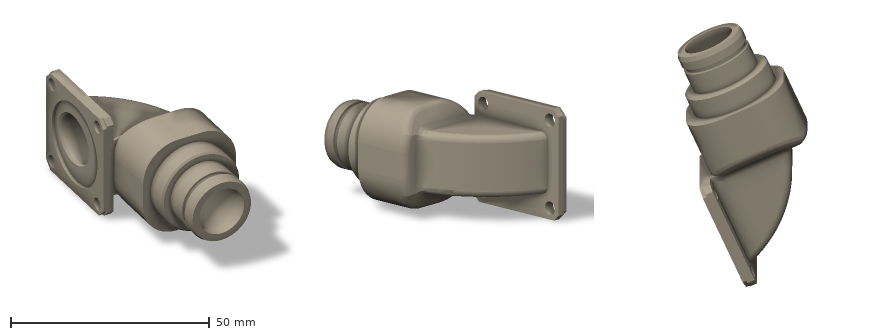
import cadquery as cq
import math

flange_side = 29.0
flange_thickness = 3.0
front_layer_thickness = 1.0
front_corner_chamfer = 2.25
back_corner_chamfer = 1.55
hole_diameter = 3.5
hole_spacing = 23.05
recess_diameter = 23.1
recess_depth = 0.9

outlet_y = 16.5
duct_bend_x = 21.7
duct_bend_y = -9.05
duct_back_radius = 34.7
duct_width = 16.3
edge_radius = 2.0

bore_bend_x = 22.55
bore_bend_radius = 27.5
bore_diameter = 13.0
bore_mouth_chamfer = 0.5

body_size = 27.0
body_corner_radius = 10.0
body_start_x = 13.3
body_end_x = 29.5
nose_width = 15.3
nose_sweep_angle = 30.0

shoulder_radius = 11.35
shoulder_end_x = 35.35
shoulder_chamfer = 0.5
spigot_radius = 8.9
groove_radius = 8.2
groove_start_x = 41.0
groove_end_x = 42.4
groove_root_radius = 0.25
tip_taper_length = 1.2
tip_taper_depth = 0.4

margin = 0.6

overall_length = 60.3
part_end_x = overall_length - flange_side / 2


def chamfered_plate(start_y, end_y, chamfer):
    """Square plate between two Y levels with its four corners cut off."""
    return (
        cq.Workplane("XZ", origin=(0, start_y, 0))
        .rect(flange_side, flange_side)
        .extrude(start_y - end_y)
        .edges("|Y")
        .chamfer(chamfer)
    )


def make_flange():
    front_layer = chamfered_plate(0, front_layer_thickness, front_corner_chamfer)
    back_layer = chamfered_plate(front_layer_thickness, flange_thickness, back_corner_chamfer)
    return front_layer.union(back_layer)


def make_body():
    block = (
        cq.Workplane("YZ", origin=(body_start_x, outlet_y, 0))
        .rect(body_size, body_size)
        .extrude(body_end_x - body_start_x)
        .edges("|X")
        .fillet(body_corner_radius)
    )
    half_height = body_size / 2
    half_nose = nose_width / 2
    sweep_back = (half_height - half_nose) * math.tan(math.radians(nose_sweep_angle))
    swept_x = body_start_x + sweep_back
    side_outline = (
        cq.Workplane("XZ", origin=(0, outlet_y, 0))
        .polyline([
            (body_start_x, -half_nose),
            (body_start_x, half_nose),
            (swept_x, half_height),
            (body_end_x, half_height),
            (body_end_x, -half_height),
            (swept_x, -half_height),
        ])
        .close()
        .extrude(body_size, both=True)
    )
    body = block.intersect(side_outline)
    ridge_zone = cq.selectors.BoxSelector(
        (body_start_x - margin, outlet_y - margin, -half_height + margin),
        (body_start_x + margin, outlet_y + margin, half_height - margin),
    )
    nose_zone = cq.selectors.BoxSelector(
        (body_start_x - margin, outlet_y - body_size, -body_size),
        (swept_x + margin, outlet_y + body_size, body_size),
    )
    return body.edges(nose_zone - ridge_zone).fillet(edge_radius)


def duct_back_offset(distance):
    """X or Y offset of the back arc from its bend centre, given the offset along the other axis."""
    return math.sqrt(duct_back_radius**2 - distance**2)


def make_duct():
    base_y = flange_thickness / 2
    foot_x = duct_bend_x - duct_back_offset(base_y - duct_bend_y)
    middle_x = (foot_x + duct_bend_x) / 2
    middle_y = duct_bend_y + duct_back_offset(middle_x - duct_bend_x)
    return (
        cq.Workplane("XY", origin=(0, 0, -duct_width / 2))
        .moveTo(foot_x, base_y)
        .threePointArc((middle_x, middle_y), (duct_bend_x, duct_bend_y + duct_back_radius))
        .lineTo(duct_bend_x, outlet_y)
        .lineTo(flange_side / 2, outlet_y)
        .lineTo(flange_side / 2, base_y)
        .close()
        .extrude(duct_width)
        .edges("%CIRCLE")
        .fillet(edge_radius)
    )


def join_duct_to_body(body, duct):
    """Unite both and round the inner corner where the duct meets the nose."""
    joint_zone = cq.selectors.BoxSelector(
        (body_start_x - margin, flange_thickness + edge_radius, -duct_width),
        (flange_side / 2, duct_bend_y + duct_back_radius, duct_width),
        boundingbox=True,
    )
    return body.union(duct).edges(joint_zone).fillet(edge_radius)


def make_outlet():
    shoulder = (
        cq.Workplane("YZ", origin=(body_end_x, outlet_y, 0))
        .circle(shoulder_radius)
        .extrude(shoulder_end_x - body_end_x)
        .faces(">X")
        .chamfer(shoulder_chamfer)
    )
    spigot = (
        cq.Workplane("YZ", origin=(shoulder_end_x, outlet_y, 0))
        .circle(spigot_radius)
        .extrude(part_end_x - shoulder_end_x)
        .faces(">X")
        .chamfer(tip_taper_length, tip_taper_depth)
    )
    groove = (
        cq.Workplane("YZ", origin=(groove_start_x, outlet_y, 0))
        .circle(spigot_radius + margin)
        .circle(groove_radius)
        .extrude(groove_end_x - groove_start_x)
        .edges(cq.selectors.RadiusNthSelector(0))
        .fillet(groove_root_radius)
    )
    return shoulder.union(spigot).cut(groove)


def make_bore():
    """Round passage: a bend up from the flange, then straight out through the outlet."""
    bend = (
        cq.Workplane("YZ", origin=(bore_bend_x, outlet_y, 0))
        .circle(bore_diameter / 2)
        .revolve(90, (-bore_bend_radius, -margin, 0), (-bore_bend_radius, margin, 0))
    )
    straight = (
        cq.Workplane("YZ", origin=(bore_bend_x, outlet_y, 0))
        .circle(bore_diameter / 2)
        .extrude(part_end_x - bore_bend_x)
    )
    return bend.union(straight)


def cut_flange_openings(part):
    """Add the bolt holes, the round recess and the bore with its chamfered mouth."""
    holes = (
        cq.Workplane("XZ")
        .rect(hole_spacing, hole_spacing, forConstruction=True)
        .vertices()
        .circle(hole_diameter / 2)
        .extrude(-flange_thickness)
    )
    recess = cq.Workplane("XZ").circle(recess_diameter / 2).extrude(-recess_depth)
    mouth_zone = cq.selectors.BoxSelector(
        (-recess_diameter / 2 + margin, recess_depth - margin, -bore_diameter),
        (recess_diameter / 2 - margin, recess_depth + margin, bore_diameter),
        boundingbox=True,
    )
    opened = part.cut(holes).cut(recess).cut(make_bore())
    return opened.edges(mouth_zone).chamfer(bore_mouth_chamfer)


housing = join_duct_to_body(make_body(), make_duct())
result = cut_flange_openings(housing.union(make_flange()).union(make_outlet()))